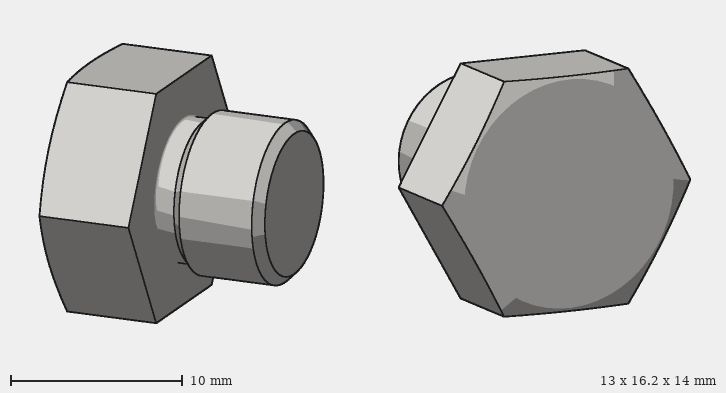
import cadquery as cq
import math


corner_width = 16.17
head_length = 6.0
head_face_diameter = 13.62
head_chamfer_angle = math.radians(15)
envelope_clearance = 0.16

total_length = 13.0
shank_diameter = 9.73
neck_diameter = 8.57
relief_length = 1.81
root_fillet = 0.2

shank_radius = shank_diameter / 2
neck_radius = neck_diameter / 2
cone_length = shank_radius - neck_radius
neck_end = head_length + relief_length - cone_length


def make_head():
    """Hexagonal prism with corners on Y, trimmed by a shallow cone at the outer face."""
    prism = cq.Workplane("YZ").polygon(6, corner_width).extrude(head_length)
    face_radius = head_face_diameter / 2
    cone_slope = math.tan(head_chamfer_angle)
    clear_radius = corner_width / 2 + envelope_clearance
    clear_depth = (clear_radius - face_radius) * cone_slope
    envelope = (
        cq.Workplane("XY")
        .lineTo(0, face_radius)
        .lineTo(clear_depth, clear_radius)
        .lineTo(head_length, clear_radius)
        .lineTo(head_length, 0)
        .close()
        .revolve(360, (0, 0, 0), (1, 0, 0))
    )
    return prism.intersect(envelope)


def make_shank():
    """Turned shank: filleted root, neck, 45 degree relief cone, cylinder and tip chamfer."""
    arc_offset = root_fillet * (1 - math.sqrt(0.5))
    return (
        cq.Workplane("XY")
        .moveTo(head_length, 0)
        .lineTo(head_length, neck_radius + root_fillet)
        .threePointArc(
            (head_length + arc_offset, neck_radius + arc_offset),
            (head_length + root_fillet, neck_radius),
        )
        .lineTo(neck_end, neck_radius)
        .lineTo(head_length + relief_length, shank_radius)
        .lineTo(total_length - cone_length, shank_radius)
        .lineTo(total_length, neck_radius)
        .lineTo(total_length, 0)
        .close()
        .revolve(360, (0, 0, 0), (1, 0, 0))
    )


result = make_head().union(make_shank())